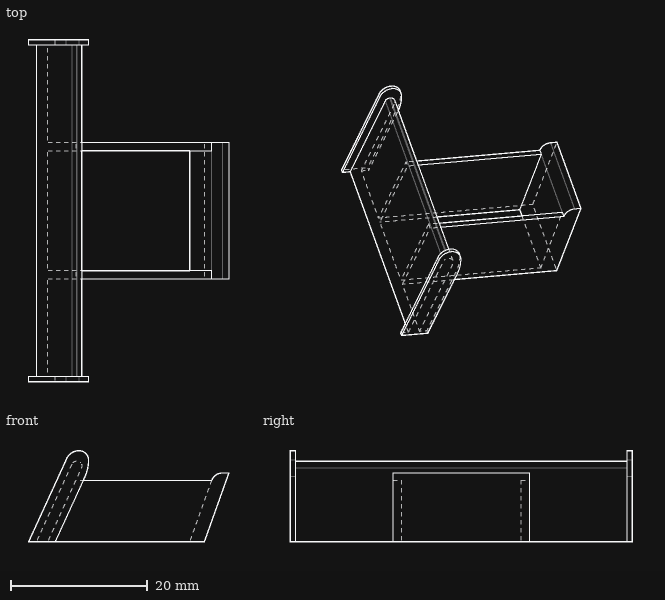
import cadquery as cq
import math

overall_length = 29.3
overall_width = 50.0
overall_height = 13.35

blade_lean = math.radians(24.6)
cheek_thickness = 0.8
cheek_depth = 3.9
blade_setback = 1.15
blade_depth = 1.65
blade_height = 11.8
blade_lip_radius = 0.7

cheek_front_arc_height = 12.0
cheek_apex_x = 7.4
cheek_nose_radius = 1.4

frame_width = 20.0
arm_thickness = 1.25
arm_height = 9.0
rear_height = 10.1
rear_base_x = 25.7
rear_depth = 2.15
rear_lip_radius = 1.7

rear_slope = (overall_length - rear_base_x) / rear_height


def blade_line(base_x, height):
    """Point at a given height on a line leaning back with the blade."""
    return (base_x + height * math.tan(blade_lean), height)


def rear_line(base_x, height):
    """Point at a given height on a line leaning back with the rear plate."""
    return (base_x + height * rear_slope, height)


def start_profile(y_center):
    """Side-profile sketch plane (X right, Z up) centred on a Y position."""
    return cq.Workplane("XZ", origin=(0, y_center, 0))


def make_cheek(y_center):
    """Leaning end plate with a rounded top."""
    front_end = blade_line(0, cheek_front_arc_height)
    apex = (cheek_apex_x, overall_height)
    nose = (cheek_apex_x + cheek_nose_radius, overall_height - cheek_nose_radius)

    run = apex[0] - front_end[0]
    rise = apex[1] - front_end[1]
    front_radius = (run**2 + rise**2) / (2 * rise)
    front_half_angle = math.asin(run / front_radius) / 2
    front_middle = (
        apex[0] - front_radius * math.sin(front_half_angle),
        apex[1] - front_radius * (1 - math.cos(front_half_angle)),
    )

    crossing_height = (nose[0] - cheek_depth) / math.tan(blade_lean)
    back_drop = (nose[1] - crossing_height) * math.cos(blade_lean)
    back_end = blade_line(cheek_depth, crossing_height - back_drop)

    return (
        start_profile(y_center)
        .lineTo(*front_end)
        .threePointArc(front_middle, apex)
        .tangentArcPoint(nose, relative=False)
        .tangentArcPoint(back_end, relative=False)
        .lineTo(cheek_depth, 0)
        .close()
        .extrude(cheek_thickness / 2, both=True)
    )


def make_blade():
    """Leaning blade with both top edges rounded."""
    back_base = blade_setback + blade_depth
    return (
        start_profile(0)
        .polyline([
            (blade_setback, 0),
            (back_base, 0),
            blade_line(back_base, blade_height),
            blade_line(blade_setback, blade_height),
        ])
        .close()
        .extrude((overall_width - cheek_thickness) / 2, both=True)
        .faces(">Z")
        .edges("|Y")
        .fillet(blade_lip_radius)
    )


def make_arm(y_center):
    """Side arm running from inside the blade to inside the rear plate."""
    blade_middle = blade_setback + blade_depth / 2
    rear_middle = rear_base_x - rear_depth / 2
    return (
        start_profile(y_center)
        .polyline([
            (blade_middle, 0),
            (rear_middle, 0),
            rear_line(rear_middle, arm_height),
            blade_line(blade_middle, arm_height),
        ])
        .close()
        .extrude(arm_thickness / 2, both=True)
    )


def make_rear_plate():
    """Leaning rear plate with its inner top edge rounded."""
    inner_base = rear_base_x - rear_depth
    return (
        start_profile(0)
        .polyline([
            (inner_base, 0),
            (rear_base_x, 0),
            (overall_length, rear_height),
            rear_line(inner_base, rear_height),
        ])
        .close()
        .extrude(frame_width / 2, both=True)
        .faces(">Z")
        .edges("<X")
        .fillet(rear_lip_radius)
    )


result = make_blade().union(make_rear_plate())
for side in (-1, 1):
    result = result.union(make_cheek(side * (overall_width - cheek_thickness) / 2))
    result = result.union(make_arm(side * (frame_width - arm_thickness) / 2))